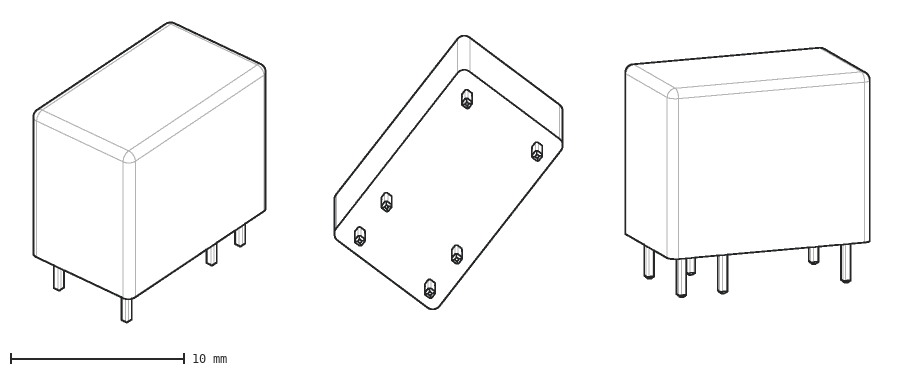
import cadquery as cq

housing_width = 7.5
housing_length = 12.5
total_height = 12.54
pin_length = 2.55
housing_height = total_height - pin_length
housing_radius = 0.5

pin_size = 0.5
pin_corner_radius = 0.13
pin_tip_chamfer = 0.16
column_spacing = 5.08
grid_pitch = column_spacing / 2
pin_columns_x = [-column_spacing / 2, column_spacing / 2]
pin_rows_y = [-2 * grid_pitch, grid_pitch, 2 * grid_pitch]


def make_housing():
    """Closed block standing on Z = 0, rounded on its upright and top edges."""
    block = cq.Workplane("XY").box(
        housing_width, housing_length, housing_height, centered=(True, True, False)
    )
    return block.edges("|Z or >Z").fillet(housing_radius)


def make_pin(x, y):
    """Square pin hanging from the housing underside, with a chamfered tip and rounded corners."""
    shank = cq.Workplane("XY").center(x, y).rect(pin_size, pin_size).extrude(-pin_length)
    rounded = shank.edges("|Z").fillet(pin_corner_radius)
    pointed = shank.faces("<Z").edges().chamfer(pin_tip_chamfer)
    return rounded.intersect(pointed)


housing = make_housing()
pins = [make_pin(x, y) for x in pin_columns_x for y in pin_rows_y]

result = cq.Compound.makeCompound([housing.val(), *[pin.val() for pin in pins]])